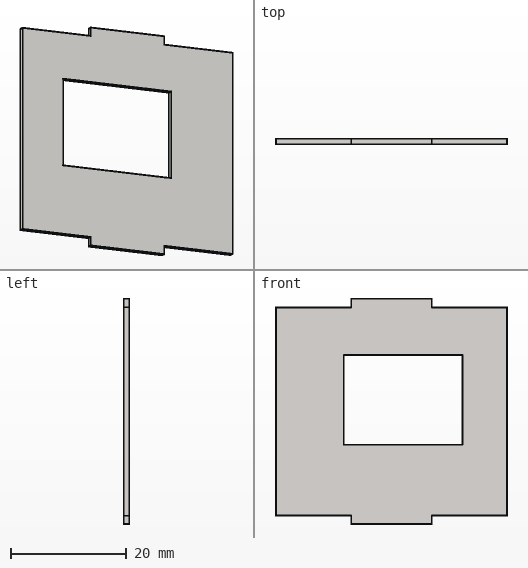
import cadquery as cq

plate_width = 40.0
plate_height = 36.0
thickness = 1.0

tab_width = 14.0
tab_height = 1.5

window_width = 20.5
window_height = 15.5
window_offset_x = 2.0
window_offset_z = 2.0


def centred_block(width, height):
    """Block of plate thickness, centred on the origin."""
    return cq.Workplane("XY").box(width, thickness, height)


def make_plate():
    """Plate with one bar through its centre forming both tabs."""
    tab_span = plate_height + 2 * tab_height
    return centred_block(plate_width, plate_height).union(centred_block(tab_width, tab_span))


def make_window():
    """Cutting block for the through window."""
    block = centred_block(window_width, window_height)
    return block.translate((window_offset_x, 0, window_offset_z))


result = make_plate().cut(make_window())